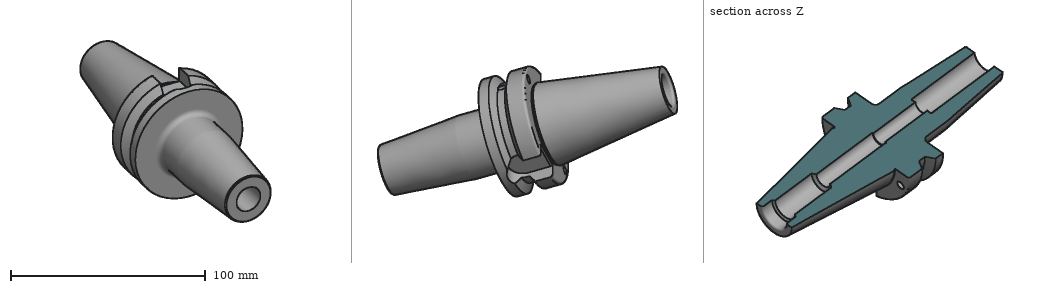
import cadquery as cq
import math

total_length = 155.4

taper_length = 65.7
relief_run = 0.8
taper_large_radius = 22.2
taper_slope = 7 / 24 / 2
taper_small_radius = taper_large_radius - taper_length * taper_slope
relief_radius = 21.6

flange_diameter = 63.0
flange_radius = flange_diameter / 2
flange_front_x = 67.1
flange_back_x = 92.5
flange_edge_fillet = 1.4
groove_center_x = 81.9
groove_floor_radius = 26.5
groove_floor_width = 4.2
groove_wall_angle = 30

neck_diameter = 34.0
neck_radius = neck_diameter / 2
neck_fillet = 3.0
cone_start_x = 111.0
tip_radius = 13.5
tip_chamfer = 0.6

slot_width = 16.2
slot_floor_z = 22.5
slot_end_x = 88.6
slot_chamfer_length = 1.1
slot_chamfer_drop = 0.5

entry_radius = 8.4
entry_depth = 7.1
entry_fillet = 1.2
thread_radius = 7.0
thread_lead_in = 1.0
thread_end_x = 35.0
drill_half_angle = 59
channel_radius = 4.8
channel_end_x = 77.7
orifice_radius = 4.2
tool_radius = 7.0
tool_depth = 46.6

coolant_turn = 20
coolant_start_radius = 27.0
coolant_diameter = 4.2
coolant_tilt = 25
radial_hole_diameter = 4.7


def arc_offset(radius):
    """Distance from each tangent line to the middle of a quarter-circle fillet."""
    return radius * (1 - math.sqrt(0.5))


def turned_body():
    wall_run = (flange_radius - groove_floor_radius) * math.tan(math.radians(groove_wall_angle))
    floor_start_x = groove_center_x - groove_floor_width / 2
    floor_end_x = groove_center_x + groove_floor_width / 2
    fillet_mid = arc_offset(neck_fillet)
    edge_mid = arc_offset(flange_edge_fillet)
    profile = (
        cq.Workplane("XZ")
        .moveTo(0, 0)
        .lineTo(0, taper_small_radius)
        .lineTo(taper_length, taper_large_radius)
        .lineTo(taper_length + relief_run, relief_radius)
        .lineTo(flange_front_x, relief_radius)
        .lineTo(flange_front_x, flange_radius - flange_edge_fillet)
        .threePointArc(
            (flange_front_x + edge_mid, flange_radius - edge_mid),
            (flange_front_x + flange_edge_fillet, flange_radius),
        )
        .lineTo(floor_start_x - wall_run, flange_radius)
        .lineTo(floor_start_x, groove_floor_radius)
        .lineTo(floor_end_x, groove_floor_radius)
        .lineTo(floor_end_x + wall_run, flange_radius)
        .lineTo(flange_back_x, flange_radius)
        .lineTo(flange_back_x, neck_radius + neck_fillet)
        .threePointArc(
            (flange_back_x + fillet_mid, neck_radius + fillet_mid),
            (flange_back_x + neck_fillet, neck_radius),
        )
        .lineTo(cone_start_x, neck_radius)
        .lineTo(total_length - tip_chamfer, tip_radius)
        .lineTo(total_length, tip_radius - tip_chamfer)
        .lineTo(total_length, 0)
        .close()
    )
    return profile.revolve(360, (0, 0, 0), (1, 0, 0))


def stepped_bore():
    drill_tip = (thread_radius - channel_radius) / math.tan(math.radians(drill_half_angle))
    mouth_mid = arc_offset(entry_fillet)
    profile = (
        cq.Workplane("XZ")
        .moveTo(0, 0)
        .lineTo(0, entry_radius + entry_fillet)
        .threePointArc((mouth_mid, entry_radius + mouth_mid), (entry_fillet, entry_radius))
        .lineTo(entry_depth, entry_radius)
        .lineTo(entry_depth + thread_lead_in, thread_radius)
        .lineTo(thread_end_x, thread_radius)
        .lineTo(thread_end_x + drill_tip, channel_radius)
        .lineTo(channel_end_x, channel_radius)
        .lineTo(channel_end_x, orifice_radius)
        .lineTo(total_length - tool_depth, orifice_radius)
        .lineTo(total_length - tool_depth, tool_radius)
        .lineTo(total_length, tool_radius)
        .lineTo(total_length, 0)
        .close()
    )
    return profile.revolve(360, (0, 0, 0), (1, 0, 0))


def drive_slot():
    """Round-ended slot above the axis, its floor chamfered at the flange front face."""
    arc_center_x = slot_end_x - slot_width / 2
    slot = (
        cq.Workplane("XY", origin=(0, 0, slot_floor_z))
        .moveTo(taper_length, -slot_width / 2)
        .lineTo(arc_center_x, -slot_width / 2)
        .threePointArc((slot_end_x, 0), (arc_center_x, slot_width / 2))
        .lineTo(taper_length, slot_width / 2)
        .close()
        .extrude(flange_radius)
    )
    floor_chamfer = (
        cq.Workplane("XZ")
        .moveTo(flange_front_x, slot_floor_z - slot_chamfer_drop)
        .lineTo(flange_front_x + slot_chamfer_length, slot_floor_z)
        .lineTo(flange_front_x, slot_floor_z)
        .close()
        .extrude(slot_width / 2, both=True)
    )
    return slot.union(floor_chamfer)


def coolant_passage():
    """Both holes of one passage, laid out in the XY plane on the +Y side and turned about X."""
    tilt = math.radians(coolant_tilt)
    direction = cq.Vector(math.cos(tilt), -math.sin(tilt), 0)
    start = cq.Vector(flange_front_x, coolant_start_radius, 0)
    lead = coolant_diameter
    length = coolant_start_radius / math.sin(tilt)
    inclined = cq.Solid.makeCylinder(
        coolant_diameter / 2, length + lead, start - direction * lead, direction
    )
    meeting_radius = coolant_start_radius - (groove_center_x - flange_front_x) * math.tan(tilt)
    radial = cq.Solid.makeCylinder(
        radial_hole_diameter / 2,
        flange_radius - meeting_radius,
        cq.Vector(groove_center_x, meeting_radius, 0),
        cq.Vector(0, 1, 0),
    )
    passage = cq.Workplane(inclined).union(cq.Workplane(radial))
    return passage.rotate((0, 0, 0), (1, 0, 0), coolant_turn)


result = turned_body().cut(stepped_bore())
for half_turn in (0, 180):
    for feature in (drive_slot(), coolant_passage()):
        result = result.cut(feature.rotate((0, 0, 0), (1, 0, 0), half_turn))